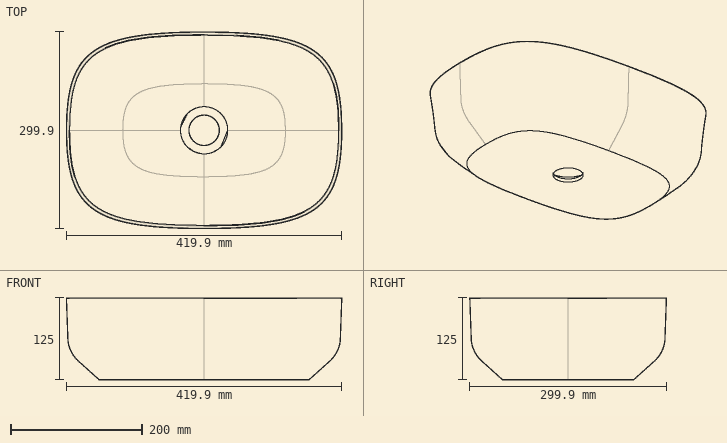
import cadquery as cq
import math

RIM_LENGTH = 420.0
RIM_WIDTH = 300.0
HEIGHT = 125.0
RIM_WALL = 5.0
RIM_ROUND = 1.0

CIRCLE_FULLNESS = 4.0 / 3.0 * (math.sqrt(2.0) - 1.0)
BASIN_FULLNESS = 0.81
WAIST_FULLNESS_DIP = 0.06

OUTER_CORNER = (2.6, 42.6)
BASE_EDGE = (50.0, 0.0)
OUTER_BEND_RADIUS = 50.0

INNER_CORNER = (13.8, 37.1)
INNER_BEND_RADIUS = 38.0

FLOOR_LENGTH = 248.0
FLOOR_WIDTH = 142.0
FLOOR_HEIGHT = 21.2
FLOOR_EDGE = (FLOOR_LENGTH / 2, FLOOR_WIDTH / 2, FLOOR_HEIGHT)

SEAT_DIAMETER = 72.0
SEAT_HEIGHT = 15.6
DRAIN_DIAMETER = 46.0
DRAIN_HEIGHT = 5.5

BEND_STEPS = 4
STRAIGHT_STEPS = 8
SURFACE_DEGREE = 6


def outline(half_length, half_width, height, fullness=BASIN_FULLNESS):
    """Closed rounded outline made of four mirrored cubic curves."""
    corners = [(1, 1), (-1, 1), (-1, -1), (1, -1)]
    edges = []
    for index, (side_x, side_y) in enumerate(corners):
        x = side_x * half_length
        y = side_y * half_width
        points = [(x, 0), (x, fullness * y), (fullness * x, y), (0, y)]
        if index % 2:
            points.reverse()
        edges.append(cq.Edge.makeBezier([cq.Vector(px, py, height) for px, py in points]))
    return cq.Wire.assembleEdges(edges)


def blend(start, end, fraction):
    """Tuple of values part of the way from start to end."""
    return tuple(a + (b - a) * fraction for a, b in zip(start, end))


def bend_points(top, corner, bottom, radius):
    """(inset, height) points of the arc that rounds the corner between wall and slope."""
    to_top = math.atan2(top[1] - corner[1], top[0] - corner[0])
    to_bottom = math.atan2(bottom[1] - corner[1], bottom[0] - corner[0])
    half_angle = (to_top - to_bottom) / 2
    bisector = (to_top + to_bottom) / 2
    center_distance = radius / math.sin(half_angle)
    center = (
        corner[0] + center_distance * math.cos(bisector),
        corner[1] + center_distance * math.sin(bisector),
    )
    bend = []
    for step in range(BEND_STEPS + 1):
        angle = to_top + math.pi / 2 + (math.pi - 2 * half_angle) * step / BEND_STEPS
        bend.append((center[0] + radius * math.cos(angle), center[1] + radius * math.sin(angle)))
    return bend


def inset_size(inset, height):
    """(half length, half width, height) at a distance inside the rim outline."""
    return (RIM_LENGTH / 2 - inset, RIM_WIDTH / 2 - inset, height)


def bent_body(top, corner, bottom, radius):
    """Smooth solid with a straight wall, a rounded bend and a straight slope.

    top and bottom are (half length, half width, height) and corner is (inset, height).
    """
    top_point = (RIM_WIDTH / 2 - top[1], top[2])
    bottom_point = (RIM_WIDTH / 2 - bottom[1], bottom[2])
    bend = [inset_size(*point) for point in bend_points(top_point, corner, bottom_point, radius)]
    fractions = [step / STRAIGHT_STEPS for step in range(STRAIGHT_STEPS)]
    wall = [blend(top, bend[0], fraction) for fraction in fractions]
    slope = [blend(bottom, bend[-1], fraction) for fraction in fractions]
    sizes = wall + bend + slope[::-1]
    wires = []
    for index, size in enumerate(sizes):
        dip = WAIST_FULLNESS_DIP * math.sin(math.pi * index / (len(sizes) - 1))
        wires.append(outline(*size, BASIN_FULLNESS - dip))
    return cq.Workplane(
        cq.occ_impl.shapes.loft(wires, cap=True, parametrization="chordal", degree=SURFACE_DEGREE)
    )


def outer_body():
    base = inset_size(*BASE_EDGE)
    return bent_body(inset_size(0.0, HEIGHT), OUTER_CORNER, base, OUTER_BEND_RADIUS)


def floor_line():
    return outline(*FLOOR_EDGE)


def bowl_cavity():
    """Cavity from the rim down to the line on the floor."""
    return bent_body(inset_size(RIM_WALL, HEIGHT), INNER_CORNER, FLOOR_EDGE, INNER_BEND_RADIUS)


def floor_cavity():
    """Gentle fall from the line on the floor to the round drain seat."""
    seat_radius = SEAT_DIAMETER / 2
    seat_line = outline(seat_radius, seat_radius, SEAT_HEIGHT, CIRCLE_FULLNESS)
    return cq.Solid.makeLoft([floor_line(), seat_line], True)


def drain():
    seat = cq.Solid.makeCone(
        DRAIN_DIAMETER / 2,
        SEAT_DIAMETER / 2,
        SEAT_HEIGHT - DRAIN_HEIGHT,
        pnt=cq.Vector(0, 0, DRAIN_HEIGHT),
    )
    hole = cq.Solid.makeCylinder(DRAIN_DIAMETER / 2, SEAT_HEIGHT)
    return cq.Workplane(seat).union(cq.Workplane(hole))


basin = outer_body().cut(bowl_cavity()).cut(cq.Workplane(floor_cavity())).cut(drain())

result = basin.faces(">Z").edges().fillet(RIM_ROUND)